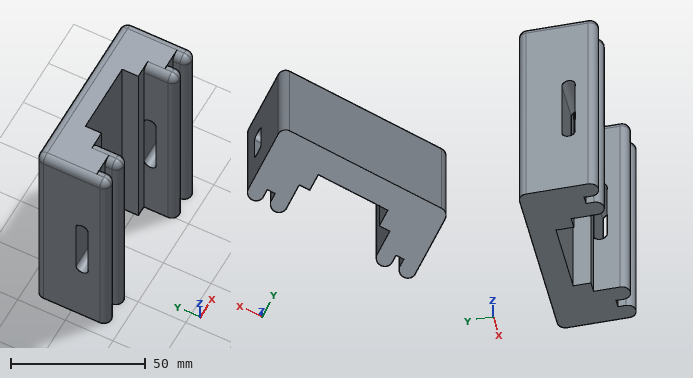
import cadquery as cq

width = 70.0
depth = 30.0
height = 90.0
edge_radius = 3.15

lip_thickness = 6.4
groove_width = 3.2
groove_depth = 6.1
wall_thickness = 2 * lip_thickness + groove_width

step_depth = 13.2
channel_depth = 20.0
channel_width = 29.2

slot_width = 5.0
slot_length = 30.0
slot_y = 10.6
slot_z = 42.5


def block(x_start, x_size, y_start, y_end, z_size=height):
    return cq.Workplane("XY").box(x_size, y_end - y_start, z_size, centered=False).translate(
        (x_start, y_start, 0)
    )


def rounded_bar(x_start, bar_width):
    """Full-height bar, rounded at the front and top, that ends inside the back body."""
    bar = block(x_start, bar_width, 0, channel_depth)
    return bar.edges("(<Y and |Z) or (>Z exc >Y)").fillet(edge_radius)


def make_back_body():
    body = block(-width / 2, width, 0, depth)
    body = body.edges("|Z or >Z").fillet(edge_radius)
    body = body.cut(block(-width / 2, width, 0, step_depth))
    return body.cut(block(-channel_width / 2, channel_width, 0, channel_depth))


def make_left_wall():
    outer_x = -width / 2
    wall_core = rounded_bar(outer_x, wall_thickness)
    wall_core = wall_core.cut(block(outer_x, wall_thickness, 0, groove_depth))
    outer_lip = rounded_bar(outer_x, lip_thickness)
    inner_lip = rounded_bar(outer_x + lip_thickness + groove_width, lip_thickness)
    return wall_core.union(outer_lip).union(inner_lip)


def make_slot():
    return (
        cq.Workplane("YZ")
        .center(slot_y, slot_z)
        .slot2D(slot_length, slot_width, 90)
        .extrude(width / 2, both=True)
    )


left_wall = make_left_wall()
right_wall = left_wall.mirror("YZ")
result = make_back_body().union(left_wall).union(right_wall).cut(make_slot())